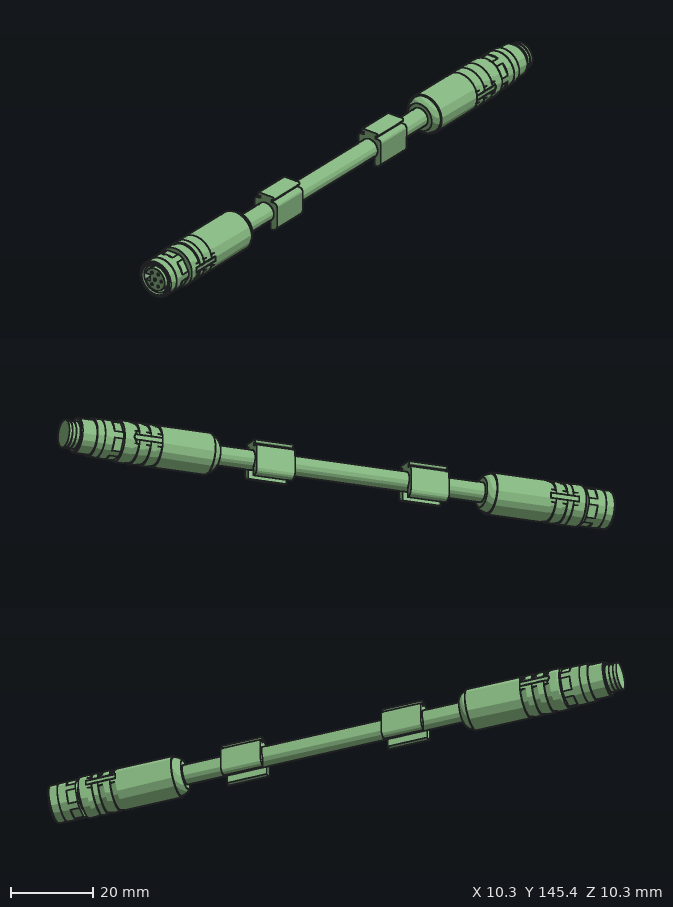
import cadquery as cq
import math

TOTAL_LENGTH = 145.4
CABLE_DIA = 5.0

GRIP_DIA = 10.3
BOOT_LENGTH = 2.0
BOOT_FRONT_DIA = 9.6
BOOT_BACK_DIA = 7.3
BOOT_ROUNDING = 2.3
GROOVE_WIDTH = 1.5
GROOVE_PITCH = 3.0
GROOVE_COUNT = 3
GROOVE_DEPTH = 0.36
GROOVE_FIELD = (GROOVE_COUNT - 1) * GROOVE_PITCH + GROOVE_WIDTH
MARK_PAD_DIA = 10.2
MARK_PAD_WIDTH = 3.2
MARK_WIDTH = 1.3
MARK_DEPTH = 0.22

SLEEVE_DIA = 9.6
SLEEVE_BAND_DIA = 9.5
NECK_DIA = 6.0
FLAT_COUNT = 6
FLAT_APOTHEM = 4.5
FLAT_LENGTH = 2.3

PLUG_TIP_DIA = 6.8
PLUG_RING_DIA = 6.5
PLUG_RING_START = 0.9
PLUG_RING_END = 1.9
PLUG_SHELL_START = 2.9
PLUG_SHELL_DIA = 8.6
PLUG_SHELL_CHAMFER = 0.3
PLUG_SLEEVE_START = 7.0
PLUG_BAND_END = 9.0
PLUG_SLEEVE_END = 13.8
PLUG_GRIP_START = 14.1
PLUG_GRIP_LENGTH = 24.1
PLUG_LIP_DIA = 10.0
PLUG_LIP_LENGTH = 0.6
PLUG_GROOVE_START = 16.6

SOCKET_FACE = 0.1
SOCKET_OUTER_CHAMFER = 0.3
SOCKET_INNER_CHAMFER = 0.5
SOCKET_BAND_END = 2.6
SOCKET_SLEEVE_END = 7.3
SOCKET_NECK_GAP = 0.9
SOCKET_GRIP_START = SOCKET_SLEEVE_END + SOCKET_NECK_GAP
SOCKET_GRIP_LENGTH = 23.7
SOCKET_GROOVE_START = 10.0
SOCKET_CAVITY_DIA = 7.3
SOCKET_CAVITY_DEPTH = 2.9
INSERT_DIA = 6.0
CONTACT_DIA = 0.7
CONTACT_HOLE_DIA = 0.6
CONTACT_CIRCLE_RADIUS = 1.9
CONTACT_ANGLES = (-120, -60, 0, 60, 120)
KEY_WIDTH = 1.7
KEY_DEPTH = 1.5

CLIP_LENGTH = 10.2
CLIP_CENTRES = (17.6, -23.5)
CLIP_HALF_WIDTH = 3.5
CLIP_BOTTOM = -4.4
CLIP_FOOT_RADIUS = 1.6
CLIP_SIDE_TOP = 2.2
CLIP_BODY_TOP = 3.2
CLIP_SHOULDER_RADIUS = CLIP_BODY_TOP - CLIP_SIDE_TOP
CLIP_NECK_HALF_WIDTH = 1.7
CLIP_PLATE_BOTTOM = 3.8
CLIP_PLATE_TOP = 4.7
CLIP_PLATE_FLAT_HALF_WIDTH = 2.0
CLIP_MOUTH_WIDTH = 2.9


def turned(profile):
    """Solid of revolution about Y from (distance from tip, diameter) corners."""
    outline = [(0, profile[0][0])]
    outline += [(dia / 2, along) for along, dia in profile]
    outline.append((0, profile[-1][0]))
    return cq.Workplane("XY").polyline(outline).close().revolve(360, (0, 0), (0, 1))


def disc(dia, start, end):
    return turned([(start, dia), (end, dia)])


def block(width, start, end, height):
    """Box centred on the axis, reaching from start to end along it."""
    centred = cq.Workplane("XY").box(width, end - start, height)
    return centred.translate((0, (start + end) / 2, 0))


def saw_tooth_groove(start, wall_at_start):
    """Ring cutter that tapers to full depth at its steep wall."""
    end = start + GROOVE_WIDTH
    wall, shallow = (start, end) if wall_at_start else (end, start)
    rim = GRIP_DIA / 2
    tooth = [(rim, shallow), (rim - GROOVE_DEPTH, wall), (rim + GROOVE_DEPTH, wall),
             (rim + GROOVE_DEPTH, shallow)]
    return cq.Workplane("XY").polyline(tooth).close().revolve(360, (0, 0), (0, 1))


def grip(start, length, groove_start, walls_at_start, pointed):
    """Grip sleeve whose grooves are bridged on each side by a pad with a flat mark."""
    end = start + length
    boot_end = end + BOOT_LENGTH
    boot = (
        cq.Workplane("XY")
        .moveTo(0, end)
        .lineTo(BOOT_FRONT_DIA / 2, end)
        .radiusArc((BOOT_BACK_DIA / 2, boot_end), -BOOT_ROUNDING)
        .lineTo(0, boot_end)
        .close()
        .revolve(360, (0, 0), (0, 1))
    )
    groove_end = groove_start + GROOVE_FIELD
    body = disc(GRIP_DIA, start, end)
    for index, wall_at_start in enumerate(walls_at_start):
        groove = saw_tooth_groove(groove_start + index * GROOVE_PITCH, wall_at_start)
        body = body.cut(groove)
    pads = disc(MARK_PAD_DIA, groove_start, groove_end)
    pads = pads.intersect(block(GRIP_DIA, groove_start, groove_end, MARK_PAD_WIDTH))
    body = body.union(pads)

    half = MARK_WIDTH / 2
    if pointed:
        head = MARK_WIDTH
        corners = [(groove_start, 0), (groove_start + half, head), (groove_start + half, half)]
    else:
        corners = [(groove_start, half)]
    corners.append((groove_end, half))
    mirrored = [(along, -across) for along, across in reversed(corners) if across > 0]
    mark = cq.Workplane("YZ").polyline(corners + mirrored).close().extrude(GRIP_DIA, both=True)
    core = block(GRIP_DIA - 2 * MARK_DEPTH, start, end, GRIP_DIA)
    return body.cut(mark.cut(core)).union(boot)


def cut_sleeve_flats(body, sleeve_end):
    """Six short flats ending at the back of the locking sleeve."""
    outside = SLEEVE_DIA / 2
    middle = (FLAT_APOTHEM + outside) / 2
    flat = block(SLEEVE_DIA / 2, sleeve_end - FLAT_LENGTH, sleeve_end, outside - FLAT_APOTHEM)
    flat = flat.translate((0, 0, middle))
    for index in range(FLAT_COUNT):
        body = body.cut(flat.rotate((0, 0, 0), (0, 1, 0), index * 360 / FLAT_COUNT))
    return body


def plug():
    shell_full = PLUG_SHELL_START + PLUG_SHELL_CHAMFER
    front = turned([
        (0, PLUG_TIP_DIA),
        (PLUG_RING_START, PLUG_TIP_DIA),
        (PLUG_RING_START, PLUG_RING_DIA),
        (PLUG_RING_END, PLUG_RING_DIA),
        (PLUG_RING_END, PLUG_TIP_DIA),
        (PLUG_SHELL_START, PLUG_TIP_DIA),
        (PLUG_SHELL_START, PLUG_SHELL_DIA - 2 * PLUG_SHELL_CHAMFER),
        (shell_full, PLUG_SHELL_DIA),
        (PLUG_SLEEVE_START, PLUG_SHELL_DIA),
        (PLUG_SLEEVE_START, SLEEVE_BAND_DIA),
        (PLUG_BAND_END, SLEEVE_BAND_DIA),
        (PLUG_BAND_END, SLEEVE_DIA),
        (PLUG_SLEEVE_END, SLEEVE_DIA),
        (PLUG_SLEEVE_END, NECK_DIA),
        (PLUG_GRIP_START, NECK_DIA),
    ])
    front = cut_sleeve_flats(front, PLUG_SLEEVE_END)
    lip_end = PLUG_GRIP_START + PLUG_LIP_LENGTH
    lip = turned([(PLUG_GRIP_START, PLUG_LIP_DIA), (lip_end, GRIP_DIA)])
    blank = disc(GRIP_DIA, PLUG_GRIP_START, lip_end)
    rear = grip(PLUG_GRIP_START, PLUG_GRIP_LENGTH, PLUG_GROOVE_START, (False, False, False), True)
    return front.union(rear.cut(blank.cut(lip)))


def socket():
    front = turned([
        (SOCKET_FACE, SLEEVE_BAND_DIA - 2 * SOCKET_OUTER_CHAMFER),
        (SOCKET_FACE + SOCKET_OUTER_CHAMFER, SLEEVE_BAND_DIA),
        (SOCKET_BAND_END, SLEEVE_BAND_DIA),
        (SOCKET_BAND_END, SLEEVE_DIA),
        (SOCKET_SLEEVE_END, SLEEVE_DIA),
        (SOCKET_SLEEVE_END, NECK_DIA),
        (SOCKET_GRIP_START, NECK_DIA),
    ])
    front = cut_sleeve_flats(front, SOCKET_SLEEVE_END)
    cavity_end = SOCKET_FACE + SOCKET_CAVITY_DEPTH
    front = front.cut(turned([
        (SOCKET_FACE, SOCKET_CAVITY_DIA + 2 * SOCKET_INNER_CHAMFER),
        (SOCKET_FACE + SOCKET_INNER_CHAMFER, SOCKET_CAVITY_DIA),
        (cavity_end, SOCKET_CAVITY_DIA),
    ]))

    insert = disc(INSERT_DIA, SOCKET_FACE, cavity_end)
    hole = disc(CONTACT_HOLE_DIA, SOCKET_FACE, cavity_end)
    for angle in CONTACT_ANGLES:
        across = CONTACT_CIRCLE_RADIUS * math.cos(math.radians(angle))
        up = CONTACT_CIRCLE_RADIUS * math.sin(math.radians(angle))
        insert = insert.cut(hole.translate((across, 0, up)))
    key_slot = block(KEY_DEPTH, SOCKET_FACE, cavity_end, KEY_WIDTH)
    insert = insert.cut(key_slot.translate(((KEY_DEPTH - INSERT_DIA) / 2, 0, 0)))
    contact = disc(CONTACT_DIA, 0, cavity_end)

    body = front.union(insert).union(contact)
    rear = grip(SOCKET_GRIP_START, SOCKET_GRIP_LENGTH, SOCKET_GROOVE_START, (False, True, True), False)
    return body.union(rear)


def clip(centre):
    """Label clip: a saddle open at the bottom with a round-edged plate on top."""
    foot_inner = CLIP_HALF_WIDTH - CLIP_FOOT_RADIUS
    shoulder_inner = CLIP_HALF_WIDTH - CLIP_SHOULDER_RADIUS
    edge_radius = (CLIP_PLATE_TOP - CLIP_PLATE_BOTTOM) / 2
    half = (
        cq.Workplane("XZ")
        .moveTo(0, CLIP_BOTTOM)
        .lineTo(foot_inner, CLIP_BOTTOM)
        .radiusArc((CLIP_HALF_WIDTH, CLIP_BOTTOM + CLIP_FOOT_RADIUS), -CLIP_FOOT_RADIUS)
        .lineTo(CLIP_HALF_WIDTH, CLIP_SIDE_TOP)
        .radiusArc((shoulder_inner, CLIP_BODY_TOP), -CLIP_SHOULDER_RADIUS)
        .lineTo(CLIP_NECK_HALF_WIDTH, CLIP_BODY_TOP)
        .lineTo(CLIP_NECK_HALF_WIDTH, CLIP_PLATE_BOTTOM)
        .lineTo(CLIP_PLATE_FLAT_HALF_WIDTH, CLIP_PLATE_BOTTOM)
        .threePointArc(
            (CLIP_PLATE_FLAT_HALF_WIDTH + edge_radius, CLIP_PLATE_BOTTOM + edge_radius),
            (CLIP_PLATE_FLAT_HALF_WIDTH, CLIP_PLATE_TOP),
        )
        .lineTo(0, CLIP_PLATE_TOP)
        .close()
        .extrude(CLIP_LENGTH / 2, both=True)
    )
    body = half.union(half.mirror("YZ"))
    mouth = cq.Workplane("XY").box(CLIP_MOUTH_WIDTH, CLIP_LENGTH, -CLIP_BOTTOM)
    body = body.cut(mouth.translate((0, 0, CLIP_BOTTOM / 2)))
    return body.translate((0, centre, 0))


half_length = TOTAL_LENGTH / 2
plug_end = plug().rotate((0, 0, 0), (0, 0, 1), 180).translate((0, half_length, 0))
socket_end = socket().translate((0, -half_length, 0))
cable = disc(CABLE_DIA, SOCKET_GRIP_START - half_length, half_length - PLUG_GRIP_START)

result = cable.union(plug_end).union(socket_end)
for clip_centre in CLIP_CENTRES:
    result = result.union(clip(clip_centre))